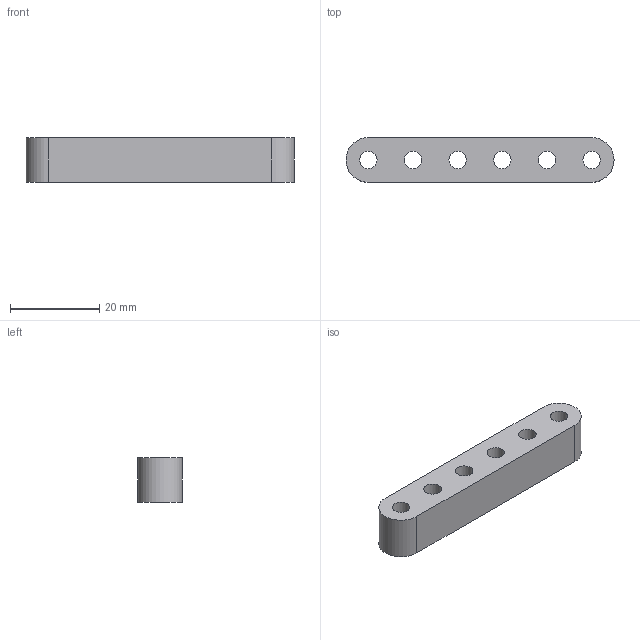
import cadquery as cq

beam_width = 10.0
beam_height = 10.0
hole_count = 6
hole_pitch = 10.0
hole_diameter = 3.9

hole_span = (hole_count - 1) * hole_pitch
beam_length = hole_span + beam_width


def make_beam():
    """Straight bar with full-radius ends, standing on Z = 0."""
    return cq.Workplane("XY").slot2D(beam_length, beam_width).extrude(beam_height)


def cut_holes(beam):
    """Row of evenly spaced through holes along the bar's centreline."""
    return (
        beam.faces(">Z")
        .workplane(origin=(0, 0, beam_height))
        .rarray(hole_pitch, 1, hole_count, 1)
        .hole(hole_diameter)
    )


result = cut_holes(make_beam())